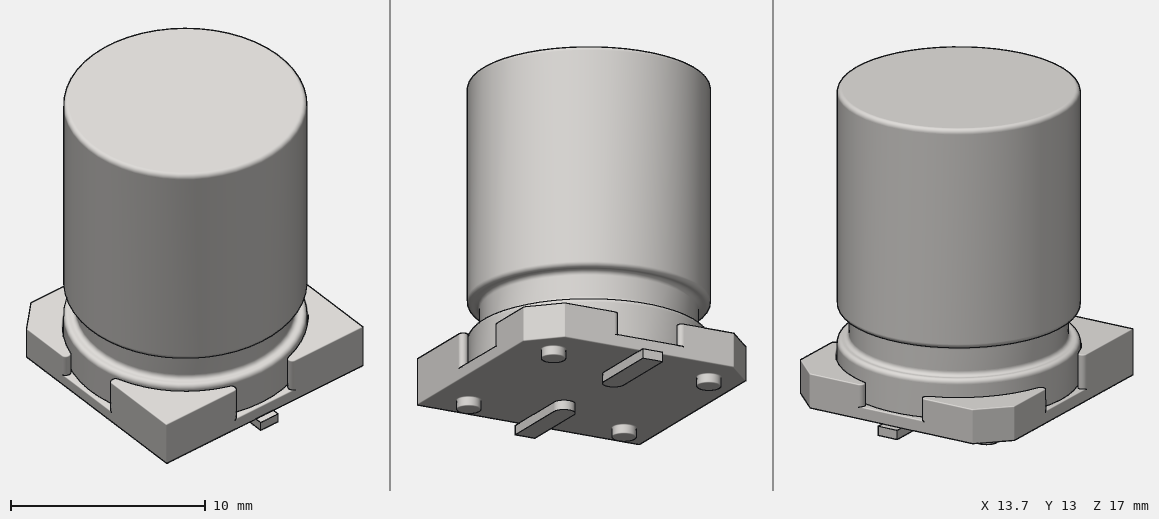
import cadquery as cq
import math

TOTAL_HEIGHT = 17.0

CAN_RADIUS = 12.5 / 2
NECK_RADIUS = 11.25 / 2
CAN_ROUND = 0.25
COLLAR_TOP = 3.32
BODY_BOTTOM = 5.0

BASE_SIZE = 13.0
BASE_BOTTOM = 0.51
SHELF_Z = 1.19
HIGH_POST_TOP = 3.06
LOW_POST_TOP = 2.4
CORNER_BEVEL = 1.56
WELL_RADIUS = 6.3
GAP_WIDTH = 3.54
TIP_ROUND = 0.25
EDGE_ROUND = 0.06

FOOT_DIAMETER = 1.25
FOOT_OFFSET = 4.54
FOOT_ROUND = 0.05
LEAD_SPAN = 13.7
LEAD_WIDTH = 1.15
LEAD_INNER_END = 2.09

HALF_BASE = BASE_SIZE / 2
HALF_GAP = GAP_WIDTH / 2


def make_can():
    """Can with a rolled neck, rounded at every step."""
    r = CAN_ROUND
    mid = r * math.sqrt(0.5)
    outer_in = CAN_RADIUS - r
    neck_out = NECK_RADIUS + r
    profile = (
        cq.Workplane("XZ")
        .moveTo(0, SHELF_Z)
        .lineTo(CAN_RADIUS, SHELF_Z)
        .lineTo(CAN_RADIUS, COLLAR_TOP - r)
        .threePointArc((outer_in + mid, COLLAR_TOP - r + mid), (outer_in, COLLAR_TOP))
        .lineTo(neck_out, COLLAR_TOP)
        .threePointArc((neck_out - mid, COLLAR_TOP + r - mid), (NECK_RADIUS, COLLAR_TOP + r))
        .lineTo(NECK_RADIUS, BODY_BOTTOM - r)
        .threePointArc((neck_out - mid, BODY_BOTTOM - r + mid), (neck_out, BODY_BOTTOM))
        .lineTo(outer_in, BODY_BOTTOM)
        .threePointArc((outer_in + mid, BODY_BOTTOM + r - mid), (CAN_RADIUS, BODY_BOTTOM + r))
        .lineTo(CAN_RADIUS, TOTAL_HEIGHT - r)
        .threePointArc((outer_in + mid, TOTAL_HEIGHT - r + mid), (outer_in, TOTAL_HEIGHT))
        .lineTo(0, TOTAL_HEIGHT)
        .close()
    )
    return profile.revolve(360, (0, 0, 0), (0, 1, 0))


def base_prism(top):
    """Base outline, bevelled at the two -X corners, from the underside up to a given height."""
    return (
        cq.Workplane("XY", origin=(0, 0, BASE_BOTTOM))
        .rect(BASE_SIZE, BASE_SIZE)
        .extrude(top - BASE_BOTTOM)
        .edges("|Z and <X")
        .chamfer(CORNER_BEVEL)
        .edges("|Z")
        .fillet(EDGE_ROUND)
    )


def round_tips(posts, distance):
    """Round the upright post edges on the gap walls that lie at a given distance from the centre."""
    reach = 0.008
    corners = []
    for along in (-HALF_GAP, HALF_GAP):
        for across in (-distance, distance):
            corners += [(along, across), (across, along)]
    edges = []
    for x, y in corners:
        box = cq.selectors.BoxSelector(
            (x - reach, y - reach, BASE_BOTTOM), (x + reach, y + reach, HIGH_POST_TOP)
        )
        edges += posts.edges("|Z").edges(box).vals()
    return posts.newObject(edges).fillet(TIP_ROUND)


def edges_at(solid, level, reach=BASE_SIZE):
    """All edges in the horizontal plane at a given height, within a given reach of the axis."""
    margin = 0.008
    return solid.edges(
        cq.selectors.BoxSelector(
            (-reach, -reach, level - margin), (reach, reach, level + margin), boundingbox=True
        )
    )


def make_posts():
    """Four corner posts around the round well, separated by a gap in each side."""
    clearance = 2 * BASE_SIZE
    gap = cq.Workplane("XY").rect(GAP_WIDTH, clearance).extrude(TOTAL_HEIGHT)
    over_low_posts = (
        cq.Workplane("XY", origin=(-HALF_BASE, 0, LOW_POST_TOP))
        .rect(BASE_SIZE, clearance)
        .extrude(TOTAL_HEIGHT)
    )
    posts = (
        base_prism(HIGH_POST_TOP)
        .cut(cq.Workplane("XY").circle(WELL_RADIUS).extrude(TOTAL_HEIGHT))
        .cut(gap)
        .cut(gap.rotate((0, 0, 0), (0, 0, 1), 90))
        .cut(over_low_posts)
    )
    posts = round_tips(posts, HALF_BASE)
    posts = round_tips(posts, math.sqrt(WELL_RADIUS**2 - HALF_GAP**2))
    for level in (HIGH_POST_TOP, LOW_POST_TOP):
        posts = edges_at(posts, level).fillet(EDGE_ROUND)
    return posts


def make_base():
    """Base plate with its corner posts, standing on four round feet."""
    plate = base_prism(SHELF_Z).faces(">Z").edges().fillet(EDGE_ROUND)
    base = plate.union(make_posts())
    base = base.faces("<Z").edges().fillet(EDGE_ROUND)
    base = base.union(make_feet())
    return edges_at(base, BASE_BOTTOM, FOOT_OFFSET + FOOT_DIAMETER).fillet(FOOT_ROUND)


def make_feet():
    """Round feet near the corners, rounded at their lower rim."""
    spacing = 2 * FOOT_OFFSET
    return (
        cq.Workplane("XY")
        .rect(spacing, spacing, forConstruction=True)
        .vertices()
        .circle(FOOT_DIAMETER / 2)
        .extrude(BASE_BOTTOM)
        .faces("<Z")
        .edges()
        .fillet(FOOT_ROUND)
    )


def make_lead():
    """Flat lead on the +X side with a rounded inner end."""
    half = LEAD_WIDTH / 2
    arc_center = LEAD_INNER_END + half
    return (
        cq.Workplane("XY")
        .moveTo(LEAD_SPAN / 2, -half)
        .lineTo(LEAD_SPAN / 2, half)
        .lineTo(arc_center, half)
        .threePointArc((LEAD_INNER_END, 0), (arc_center, -half))
        .close()
        .extrude(BASE_BOTTOM)
    )


lead = make_lead()
result = make_base().union(make_can()).union(lead).union(lead.mirror("YZ"))